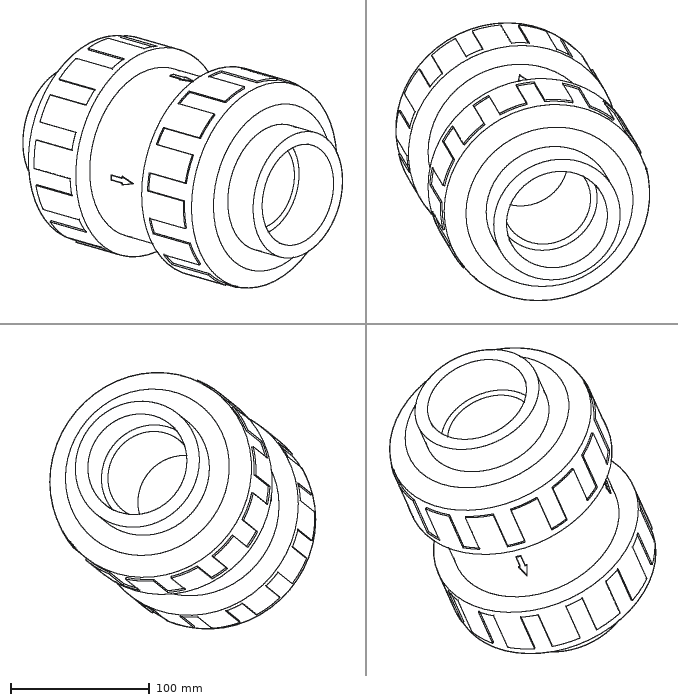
import cadquery as cq
import math

total_length = 231.0
socket_radius = 93.8 / 2
socket_bore_radius = 74.8 / 2
socket_bore_depth = 34.6
flow_bore_radius = 65.1 / 2
wall_thickness = 9.2

nut_face_offset = 25.5
nut_length = 57.0
nut_radius = 152.5 / 2
nut_face_radius = 123.8 / 2
nut_chamfer_length = 8.3

grip_radius = 155.0 / 2
grip_start = 15.2
slot_length = 36.0
slot_count = 14
slot_angle = 9.9
first_slot_angle = 7.8

body_radius = 126.0 / 2
body_inset = nut_face_offset + nut_length / 2

arrow_start = 104.5
arrow_neck = 115.3
arrow_tip = 126.4
arrow_shaft_half_width = 1.8
arrow_head_half_width = 3.2
arrow_height = 0.7
arrow_count = 4


def cylinder(radius, start, end):
    """Solid cylinder on the X axis between two X positions."""
    return cq.Workplane("YZ").workplane(offset=start).circle(radius).extrude(end - start)


def turn_about_axis(shape, angle):
    """Turn a shape about the pipe axis by an angle in degrees."""
    return shape.rotate((0, 0, 0), (1, 0, 0), angle)


def make_grip_band():
    """Thin ring around the nut with its slots cut right through the ring's thickness."""
    band = cylinder(grip_radius, grip_start, nut_length).cut(cylinder(nut_radius, grip_start, nut_length))

    wedge_length = grip_radius + 2.3
    wedge_half_width = wedge_length * math.tan(math.radians(slot_angle / 2))
    wedge = (
        cq.Workplane("YZ")
        .workplane(offset=grip_start)
        .polyline([(0, 0), (wedge_length, -wedge_half_width), (wedge_length, wedge_half_width)])
        .close()
        .extrude(slot_length)
    )
    for index in range(slot_count):
        angle = 180.0 + first_slot_angle + index * 360.0 / slot_count
        band = band.cut(turn_about_axis(wedge, angle))
    return band


def make_nut():
    """Union nut with its outer face at X = 0, extending toward +X."""
    profile = [
        (0, 0),
        (0, nut_face_radius),
        (nut_chamfer_length, nut_radius),
        (nut_length, nut_radius),
        (nut_length, 0),
    ]
    core = cq.Workplane("XY").polyline(profile).close().revolve(360, (0, 0, 0), (1, 0, 0))
    return core.union(make_grip_band())


def make_arrow():
    """Flow arrow on the +Z side of the body, pointing toward +X."""
    outline = [
        (arrow_start, -arrow_shaft_half_width),
        (arrow_neck, -arrow_shaft_half_width),
        (arrow_neck, -arrow_head_half_width),
        (arrow_tip, 0),
        (arrow_neck, arrow_head_half_width),
        (arrow_neck, arrow_shaft_half_width),
        (arrow_start, arrow_shaft_half_width),
    ]
    prism = cq.Workplane("XY").polyline(outline).close().extrude(2 * body_radius)
    return prism.intersect(cylinder(body_radius + arrow_height, arrow_start, arrow_tip))


part = cylinder(socket_radius, 0, total_length)
part = part.union(cylinder(body_radius, body_inset, total_length - body_inset))

left_nut = make_nut().translate((nut_face_offset, 0, 0))
right_nut = left_nut.rotate((total_length / 2, 0, 0), (total_length / 2, 0, 1), 180)
part = part.union(left_nut).union(right_nut)

arrow = make_arrow()
for index in range(arrow_count):
    part = part.union(turn_about_axis(arrow, index * 360.0 / arrow_count))

flow_bore_depth = (total_length - wall_thickness) / 2
for radius, depth in ((socket_bore_radius, socket_bore_depth), (flow_bore_radius, flow_bore_depth)):
    part = part.cut(cylinder(radius, 0, depth))
    part = part.cut(cylinder(radius, total_length - depth, total_length))

result = part